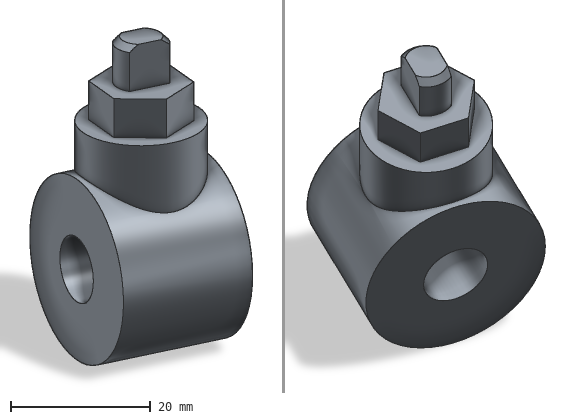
import cadquery as cq
import math

total_height = 48.0
ring_diameter = 28.0
ring_width = 21.0
bore_diameter = 10.0

neck_diameter = 19.0
hex_across_flats = 13.0
hex_height = 6.0
stem_diameter = 8.2
stem_thickness = 5.0
stem_height = 7.0
stem_chamfer = 1.0

stem_top = total_height - ring_diameter / 2
hex_top = stem_top - stem_height
neck_top = hex_top - hex_height


def cylinder_along_y(diameter):
    return cq.Workplane("XZ").circle(diameter / 2).extrude(ring_width / 2, both=True)


def make_neck():
    return cq.Workplane("XY").circle(neck_diameter / 2).extrude(neck_top)


def make_hexagon():
    across_corners = hex_across_flats / math.cos(math.radians(30))
    return (
        cq.Workplane("XY")
        .workplane(offset=neck_top)
        .polygon(6, across_corners)
        .extrude(hex_height)
    )


def make_stem():
    bar = (
        cq.Workplane("XY")
        .workplane(offset=hex_top)
        .circle(stem_diameter / 2)
        .extrude(stem_height)
        .faces(">Z")
        .chamfer(stem_chamfer)
    )
    flats = (
        cq.Workplane("XY")
        .workplane(offset=hex_top)
        .rect(stem_thickness, stem_diameter)
        .extrude(stem_height)
    )
    return bar.intersect(flats)


ring = cylinder_along_y(ring_diameter)
bore = cylinder_along_y(bore_diameter)
result = ring.union(make_neck()).union(make_hexagon()).union(make_stem()).cut(bore)